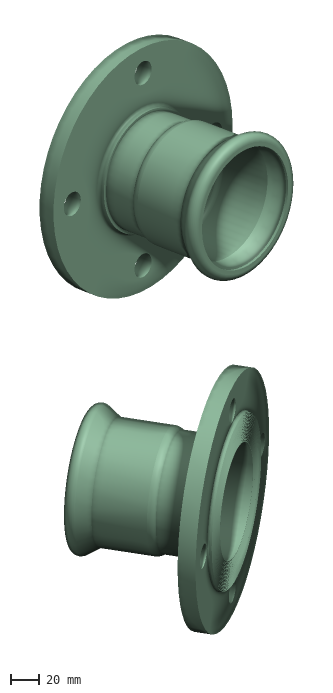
import cadquery as cq
import math

raised_rim_x = 1.9
flange_front_x = 3.0
flange_back_x = 16.2
hub_fillet_radius = 2.3
hub_end_x = 20.7
shoulder_start_x = 46.4
shoulder_end_x = 52.2
bore_end_x = 48.5
cone_start_x = 92.7
length = 112.0

flange_radius = 190 / 2
raised_face_radius = 128.0 / 2
raised_base_radius = raised_face_radius + 0.8
hub_radius = 93.5 / 2
pipe_radius = 89.0 / 2
bore_radius = 85.0 / 2
wall = pipe_radius - bore_radius
socket_radius = 93.5 / 2
socket_bore_radius = socket_radius - wall
bead_peak_radius = 54.7
bead_round = 5.7
mouth_radius = 91.4 / 2

bolt_hole_diameter = 18.0
bolt_circle_radius = 75.0
bolt_count = 4

groove_pitch = 1.0
groove_depth = 0.4

bead_x = length - bead_round
bead_center_radius = bead_peak_radius - bead_round
cone_run = bead_x - cone_start_x
cone_rise = bead_center_radius - socket_radius
cone_angle = math.atan2(cone_rise, cone_run) + math.asin(bead_round / math.hypot(cone_run, cone_rise))


def bead_point(radius, angle):
    """Point on a circle about the bead centre, angle measured from +X."""
    return (bead_x + radius * math.cos(angle), bead_center_radius + radius * math.sin(angle))


def bead_profile(profile, radius):
    """Cone and tangent quarter-plus round, ending square to the axis."""
    tangent_angle = math.pi / 2 + cone_angle
    profile = profile.lineTo(*bead_point(radius, tangent_angle))
    return profile.threePointArc(bead_point(radius, tangent_angle / 2), bead_point(radius, 0))


def shoulder_profile(profile, start_x, start_radius, end_radius):
    """Arc widening from the pipe, ending tangent to the socket wall."""
    rise = end_radius - start_radius
    run = shoulder_end_x - start_x
    arc_radius = (run**2 + rise**2) / (2 * rise)
    half_angle = math.asin(run / arc_radius) / 2
    middle = (
        shoulder_end_x - arc_radius * math.sin(half_angle),
        end_radius - arc_radius * (1 - math.cos(half_angle)),
    )
    return profile.threePointArc(middle, (shoulder_end_x, end_radius))


def revolve_about_x(profile):
    return profile.close().revolve(360, (0, 0, 0), (1, 0, 0))


def outer_body():
    fillet_middle = hub_fillet_radius * (1 - math.sqrt(0.5))
    profile = (
        cq.Workplane("XY")
        .lineTo(0, raised_face_radius)
        .lineTo(raised_rim_x, raised_face_radius)
        .lineTo(flange_front_x, raised_base_radius)
        .lineTo(flange_front_x, flange_radius)
        .lineTo(flange_back_x, flange_radius)
        .lineTo(flange_back_x, hub_radius + hub_fillet_radius)
        .threePointArc(
            (flange_back_x + fillet_middle, hub_radius + fillet_middle),
            (flange_back_x + hub_fillet_radius, hub_radius),
        )
        .lineTo(hub_end_x, hub_radius)
        .lineTo(hub_end_x, pipe_radius)
        .lineTo(shoulder_start_x, pipe_radius)
    )
    profile = shoulder_profile(profile, shoulder_start_x, pipe_radius, socket_radius)
    profile = bead_profile(profile.lineTo(cone_start_x, socket_radius), bead_round)
    return revolve_about_x(profile.lineTo(length, 0))


def inner_bore():
    """Bore, socket and seal groove, following the outside at one wall thickness."""
    cone_offset = wall * math.tan(cone_angle / 2)
    profile = cq.Workplane("XY").lineTo(0, bore_radius).lineTo(bore_end_x, bore_radius)
    profile = shoulder_profile(profile, bore_end_x, bore_radius, socket_bore_radius)
    profile = profile.lineTo(cone_start_x + cone_offset, socket_bore_radius)
    profile = bead_profile(profile, bead_round - wall)
    profile = profile.lineTo(length - wall, mouth_radius).lineTo(length, mouth_radius)
    return revolve_about_x(profile.lineTo(length, 0))


def face_grooves():
    """All V grooves between the bore and the rim, as one toothed ring."""
    count = int((raised_face_radius - bore_radius) / groove_pitch)
    first_radius = raised_face_radius - count * groove_pitch
    profile = cq.Workplane("XY").moveTo(-groove_depth, first_radius).lineTo(0, first_radius)
    for index in range(count):
        radius = first_radius + index * groove_pitch
        profile = profile.lineTo(groove_depth, radius + groove_pitch / 2)
        profile = profile.lineTo(0, radius + groove_pitch)
    return revolve_about_x(profile.lineTo(-groove_depth, raised_face_radius))


def bolt_holes():
    return (
        cq.Workplane("YZ")
        .polarArray(bolt_circle_radius, 0, 360, bolt_count)
        .circle(bolt_hole_diameter / 2)
        .extrude(flange_back_x)
    )


result = outer_body().cut(inner_bore()).cut(face_grooves()).cut(bolt_holes())